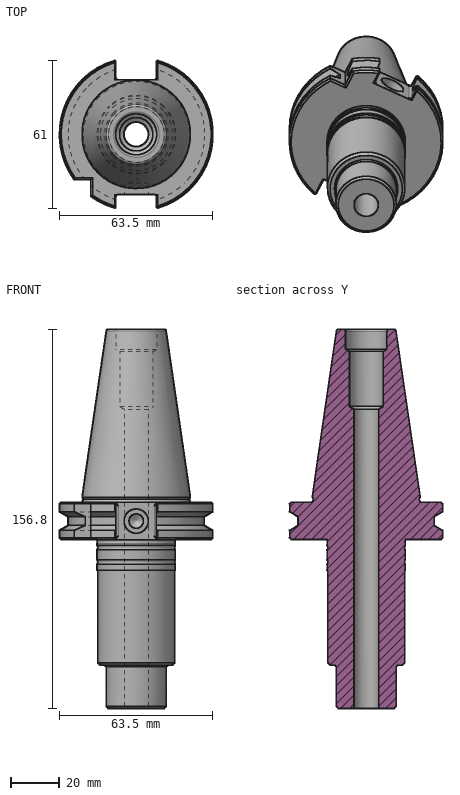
import cadquery as cq
import math

total_length = 156.8
tolerance = 0.02
cut_clearance = 1.5

taper_ratio = 7 / 24
gauge_diameter = 44.5
gauge_z = 88.4
taper_end_radius = gauge_diameter / 2 - (total_length - gauge_z) * taper_ratio / 2
taper_end_fillet = 1.0
taper_bottom_z = 87.3
relief_radius = 22.0
relief_z = 86.4

flange_radius = 63.5 / 2
flange_top_z = 85.3
flange_bottom_z = 69.8
flange_chamfer = 0.8
groove_center_z = 77.5
groove_floor_radius = 28.2
groove_floor_width = 3.6
groove_flank_angle = 30.0

slot_width = 16.8
slot_corner_radius = 1.0
slot_wall_chamfer = 0.5
front_slot_distance = 25.0
back_slot_distance = 22.5
notch_distance = 18.8

plug_hole_diameter = 10.0
plug_hole_depth = 5.0
plug_socket_diameter = 6.0
plug_socket_depth = 1.7
plug_z = 77.5

collar_radius = 32.5 / 2
collar_bottom_z = 57.2
ring_groove_radius = 1.7
ring_groove_width = 1.9
ring_groove_positions = (66.5, 60.5)
root_groove_width = 1.3
root_groove_z = 69.0
body_radius = 32.0 / 2
body_bottom_z = 17.9
body_chamfer = 1.1
nose_radius = 25.0 / 2
nose_chamfer = 1.0
nose_shoulder_chamfer = 0.6

through_radius = 10.0 / 2
thread_radius = 13.8 / 2
thread_depth = 32.0
pilot_radius = 17.0 / 2
pilot_depth = 8.3
cone_half_angle = 59.0


def revolve_profile(points):
    return cq.Workplane("XZ").polyline(points).close().revolve(360, (0, 0), (0, 1))


def make_slot(floor_distance, side):
    """Drive slot across the rim, side = -1 for -Y and +1 for +Y."""
    depth = flange_radius
    height = flange_top_z - flange_bottom_z
    slot = cq.Workplane("XY").box(slot_width, depth, height, centered=(True, False, False))
    slot = slot.translate((0, floor_distance, flange_bottom_z))
    if side < 0:
        slot = slot.rotate((0, 0, 0), (0, 0, 1), 180)
    return slot


def in_slot_wall(shape):
    """True if the center of a face or edge lies in the plane of a slot side wall."""
    return math.isclose(abs(shape.Center().x), slot_width / 2, abs_tol=tolerance)


def distance_from_axis_plane(edge):
    """Distance of the edge center from the XZ plane."""
    return abs(edge.Center().y)


def finish_slots(disc):
    """Chamfer the free edges of the slot side walls and round the inner corners."""
    free_edges = []
    for wall in filter(in_slot_wall, disc.faces("|X").vals()):
        corner = min(wall.Edges(), key=distance_from_axis_plane)
        free_edges += [edge for edge in wall.Edges() if not edge.isSame(corner)]
    disc = disc.newObject(free_edges).chamfer(slot_wall_chamfer)

    upright_edges = filter(in_slot_wall, disc.edges("|Z").vals())
    corners = [edge for edge in upright_edges
               if distance_from_axis_plane(edge) < front_slot_distance + tolerance]
    return disc.newObject(corners).fillet(slot_corner_radius)


def make_flange():
    """Disc with corner notch, drive slots, chamfered edges and V-groove."""
    height = flange_top_z - flange_bottom_z
    disc = cq.Workplane("XY").workplane(offset=flange_bottom_z).circle(flange_radius).extrude(height)
    notch = cq.Workplane("XY").box(flange_radius, flange_radius, total_length, centered=False)
    notch = notch.translate((-notch_distance - flange_radius, -notch_distance - flange_radius, 0))
    disc = disc.cut(notch)
    disc = disc.faces("<Z or >Z").edges().chamfer(flange_chamfer)
    disc = disc.cut(make_slot(front_slot_distance, -1))
    disc = disc.cut(make_slot(back_slot_distance, 1))
    disc = finish_slots(disc)

    half_floor = groove_floor_width / 2
    rise = math.tan(math.radians(groove_flank_angle))
    outer = flange_radius + cut_clearance
    half_mouth = half_floor + (outer - groove_floor_radius) * rise
    groove = revolve_profile([
        (groove_floor_radius, groove_center_z - half_floor),
        (outer, groove_center_z - half_mouth),
        (outer, groove_center_z + half_mouth),
        (groove_floor_radius, groove_center_z + half_floor),
    ])
    return disc.cut(groove)


def make_ring_groove(z, width):
    """Shallow round-bottomed groove around the collar."""
    half_width = width / 2
    center_radius = collar_radius + math.sqrt(ring_groove_radius**2 - half_width**2)
    return (cq.Workplane("XZ").center(center_radius, z).circle(ring_groove_radius)
            .revolve(360, (-center_radius, 0), (-center_radius, 1)))


def make_shaft():
    """Grooved solid core from the nose through the collar up to the taper end."""
    taper_bottom_radius = gauge_diameter / 2 + (gauge_z - taper_bottom_z) * taper_ratio / 2
    shaft = revolve_profile([
        (0, 0),
        (nose_radius - nose_chamfer, 0),
        (nose_radius, nose_chamfer),
        (nose_radius, body_bottom_z - nose_shoulder_chamfer),
        (nose_radius + nose_shoulder_chamfer, body_bottom_z),
        (body_radius - body_chamfer, body_bottom_z),
        (body_radius, body_bottom_z + body_chamfer),
        (body_radius, collar_bottom_z),
        (collar_radius, collar_bottom_z),
        (collar_radius, flange_top_z),
        (taper_bottom_radius, flange_top_z),
        (relief_radius, relief_z),
        (taper_bottom_radius, taper_bottom_z),
        (taper_end_radius, total_length),
        (0, total_length),
    ])
    for groove_z in ring_groove_positions:
        shaft = shaft.cut(make_ring_groove(groove_z, ring_groove_width))
    return shaft.cut(make_ring_groove(root_groove_z, root_groove_width))


def make_plug_hole():
    """Blind cross hole with a conical socket at its floor."""
    bore = cq.Workplane("XZ", origin=(0, -front_slot_distance, plug_z))
    bore = bore.circle(plug_hole_diameter / 2).extrude(-plug_hole_depth)
    socket = cq.Solid.makeCone(plug_socket_diameter / 2, 0, plug_socket_depth,
                               cq.Vector(0, plug_hole_depth - front_slot_distance, plug_z),
                               cq.Vector(0, 1, 0))
    return bore.union(cq.Workplane(socket))


def make_bore():
    """Through bore widening in conical steps to the thread section and the pilot."""
    slope = math.tan(math.radians(cone_half_angle))
    pilot_z = total_length - pilot_depth
    thread_z = total_length - thread_depth
    return revolve_profile([
        (0, 0),
        (through_radius, 0),
        (through_radius, thread_z - (thread_radius - through_radius) / slope),
        (thread_radius, thread_z),
        (thread_radius, pilot_z - (pilot_radius - thread_radius) / slope),
        (pilot_radius, pilot_z),
        (pilot_radius, total_length),
        (0, total_length),
    ])


result = make_flange().union(make_shaft())
result = result.cut(make_plug_hole())
result = result.cut(make_bore())
result = result.faces(">Z").edges().fillet(taper_end_fillet)